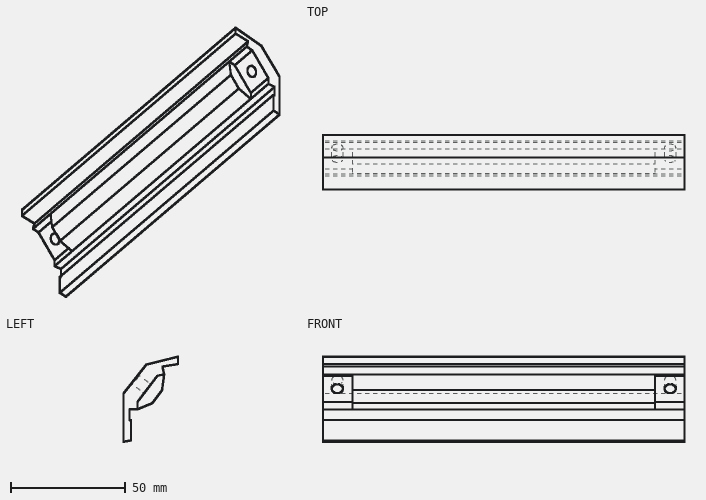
import cadquery as cq
import math

length = 158.0
depth = 23.8
height = 37.3

flange_thickness = 3.3
flange_relief = 0.6
flange_step_z = 9.5
flange_bottom_rise = 0.6
body_bottom_z = 14.2

slope_start_z = 21.2
slope_end_depth = 10.0
slope_end_z = 33.8

lip_thickness = 3.3
lip_root_depth = 17.0
lip_root_z = 32.8

crest_depth = 17.8
crest_z = 29.5
upper_bend_depth = 16.9
upper_bend_z = 22.6
lower_bend_depth = 12.6
lower_bend_z = 16.9
body_bottom_depth = 6.2

notch_length = 13.0
notch_low_z = 17.5
notch_roof_depth = 14.8
notch_roof_z = 28.9
notch_clearance = 4.7

hole_diameter = 4.9
hole_depth = 6.3
hole_from_end = 6.3
hole_z = 23.2


def extrude_profile(points, start, span):
    """Extrude a (distance in front of the back face, height) outline along X."""
    outline = [(-forward, z) for forward, z in points]
    plane = cq.Workplane("YZ", origin=(start, 0, 0))
    return plane.polyline(outline).close().extrude(span)


def make_body():
    relieved_thickness = flange_thickness - flange_relief
    return extrude_profile(
        [
            (0, 0),
            (0, slope_start_z),
            (slope_end_depth, slope_end_z),
            (depth, height),
            (depth, height - lip_thickness),
            (lip_root_depth, lip_root_z),
            (crest_depth, crest_z),
            (upper_bend_depth, upper_bend_z),
            (lower_bend_depth, lower_bend_z),
            (body_bottom_depth, body_bottom_z),
            (relieved_thickness, body_bottom_z),
            (relieved_thickness, flange_step_z),
            (flange_thickness, flange_step_z),
            (flange_thickness, flange_bottom_rise),
        ],
        0,
        length,
    )


def make_notch(start):
    front = crest_depth + notch_clearance
    roof_slope = (crest_z - notch_roof_z) / (crest_depth - notch_roof_depth)
    roof_front_z = crest_z + roof_slope * notch_clearance
    cut_bottom_z = body_bottom_z - notch_clearance
    return extrude_profile(
        [
            (body_bottom_depth, cut_bottom_z),
            (body_bottom_depth, notch_low_z),
            (notch_roof_depth, notch_roof_z),
            (front, roof_front_z),
            (front, cut_bottom_z),
        ],
        start,
        notch_length,
    )


def make_hole(x):
    face_run = notch_roof_depth - body_bottom_depth
    face_rise = notch_roof_z - notch_low_z
    face_length = math.hypot(face_run, face_rise)
    hole_forward = body_bottom_depth + (hole_z - notch_low_z) * face_run / face_rise
    inward = cq.Vector(0, face_rise / face_length, face_run / face_length)
    center = cq.Vector(x, -hole_forward, hole_z)
    return cq.Solid.makeCylinder(hole_diameter / 2, hole_depth, center, inward)


result = make_body()
for notch_start in (0, length - notch_length):
    result = result.cut(make_notch(notch_start))
for hole_x in (hole_from_end, length - hole_from_end):
    result = result.cut(make_hole(hole_x))